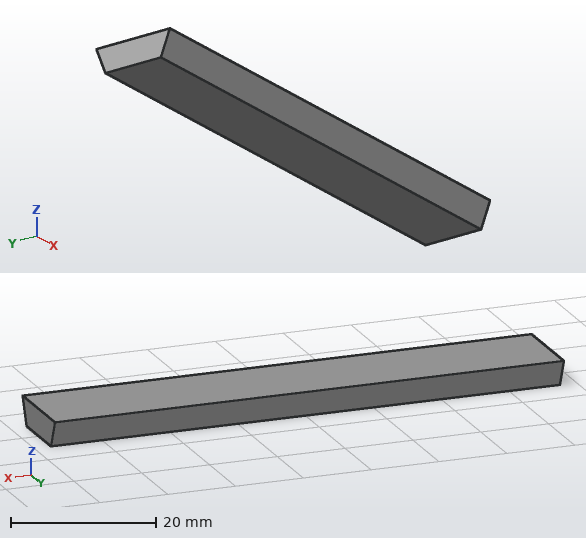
import cadquery as cq

length = 75.05
top_width = 12.5
bottom_width = 9.45
height = 4.0

section = [
    (-bottom_width / 2, 0),
    (bottom_width / 2, 0),
    (top_width / 2, height),
    (-top_width / 2, height),
]
result = cq.Workplane("YZ").polyline(section).close().extrude(length)